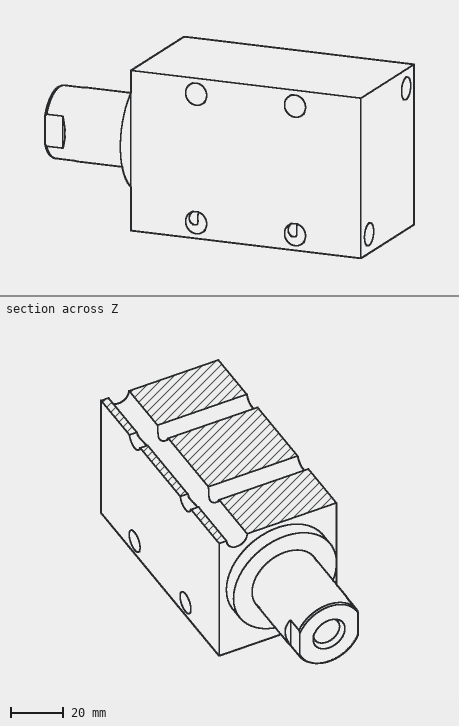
import cadquery as cq

total_length = 136.8
block_start = 41.3
block_width = 50.7
block_height = 63.5
block_length = total_length - block_start

flange_diameter = 44.5
flange_thickness = 5.7
flange_start = block_start - flange_thickness

rod_diameter = 28.5
nose_diameter = 28.2
tip_diameter = 27.4
tip_length = 0.8
nose_end = 9.0
rod_start = 10.0

flat_spacing = 25.2
flat_length = 7.5

bore_diameter = 11.2
bore_mouth_diameter = 13.7
bore_lip_diameter = 13.1
bore_lip_depth = 0.5
bore_cone_depth = 2.0
bore_depth = 20.5

hole_diameter = 8.8
cross_hole_first_x = 68.4
cross_hole_pitch_x = 41.0
cross_hole_z = 25.5
long_hole_y = 17.6
long_hole_z = 24.2

boss_diameter = 15.9
boss_height = 2.3
boss_x = 121.7


def make_block():
    return cq.Workplane("XY").box(
        block_length, block_width, block_height, centered=(False, True, True)
    ).translate((block_start, 0, 0))


def make_rod():
    """Revolve the tip, nose, rod and flange about the X axis."""
    profile = [
        (0, 0),
        (0, tip_diameter / 2),
        (tip_length, nose_diameter / 2),
        (nose_end, nose_diameter / 2),
        (rod_start, rod_diameter / 2),
        (flange_start, rod_diameter / 2),
        (flange_start, flange_diameter / 2),
        (block_start, flange_diameter / 2),
        (block_start, 0),
    ]
    return cq.Workplane("XY").polyline(profile).close().revolve(360, (0, 0, 0), (1, 0, 0))


def make_flat_cutter(side):
    """Material outside one wrench flat; side is +1 or -1 along Y."""
    inner_y = flat_spacing / 2
    outer_y = rod_diameter
    ramp_length = outer_y - inner_y
    outline = [
        (0, side * inner_y),
        (flat_length, side * inner_y),
        (flat_length + ramp_length, side * outer_y),
        (0, side * outer_y),
    ]
    return cq.Workplane("XY").polyline(outline).close().extrude(rod_diameter / 2, both=True)


def make_bore():
    """Blind bore with a chamfered lip and a tapered entry."""
    profile = [
        (0, 0),
        (0, bore_mouth_diameter / 2),
        (bore_lip_depth, bore_lip_diameter / 2),
        (bore_cone_depth, bore_diameter / 2),
        (bore_depth, bore_diameter / 2),
        (bore_depth, 0),
    ]
    return cq.Workplane("XY").polyline(profile).close().revolve(360, (0, 0, 0), (1, 0, 0))


def make_cross_holes():
    """Four holes through the block along Y."""
    centers = [
        (cross_hole_first_x + column * cross_hole_pitch_x, side * cross_hole_z)
        for column in range(2)
        for side in (-1, 1)
    ]
    return (
        cq.Workplane("XZ").pushPoints(centers).circle(hole_diameter / 2)
        .extrude(block_width, both=True)
    )


def make_long_holes():
    """Two holes in opposite corners, running the length of the block."""
    centers = [(side * long_hole_y, side * long_hole_z) for side in (-1, 1)]
    return (
        cq.Workplane("YZ", origin=(block_start, 0, 0)).pushPoints(centers)
        .circle(hole_diameter / 2).extrude(block_length)
    )


def make_boss():
    return (
        cq.Workplane("XY", origin=(boss_x, 0, -block_height / 2))
        .circle(boss_diameter / 2).extrude(-boss_height)
    )


rod = make_rod()
for side in (-1, 1):
    rod = rod.cut(make_flat_cutter(side))

result = make_block().union(rod).union(make_boss())
result = result.cut(make_bore()).cut(make_cross_holes()).cut(make_long_holes())